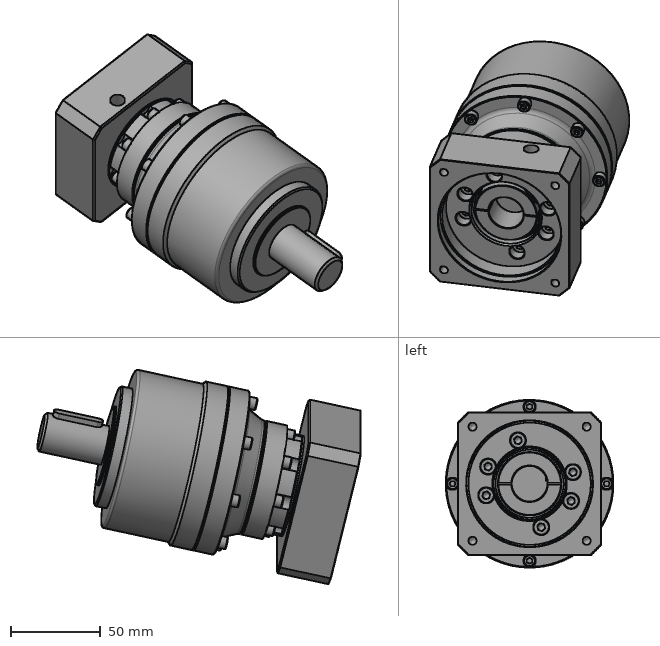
import cadquery as cq
import math

LENGTH = 173.5

PLATE_SIDE = 79.8
PLATE_DEPTH = 29.8
PLATE_CORNER = 5.9
PLATE_BACK_EDGE = 0.9
PLATE_FRONT_EDGE = 0.3
REGISTER_RADIUS = 28.6
REGISTER_END = 30.9
PILOT_RADIUS = 35.0
PILOT_DEPTH = 5.5
BORE_EDGE = 0.3
RELIEF_RADIUS = 34.0
FLOOR_X = 15.3
RIM_RADIUS = 20.8
RIM_DEPTH = 1.2
LIP_RADIUS = 20.0
LIP_DEPTH = 5.5
CLEARANCE_RADIUS = 18.9
CORNER_HOLE_OFFSET = 31.8
CORNER_HOLE_RADIUS = 2.3
CORNER_HOLE_DEPTH = 12.1
ADAPTER_SCREW_CIRCLE = 25.0
ADAPTER_SCREW_ANGLES = (22.5, 75, 165, 202.5, 255, 345)
ADAPTER_BORE_RADIUS = 4.2
ADAPTER_BORE_DEPTH = 7.0
ACCESS_HOLE_RADIUS = 4.2

LARGE_SOCKET_FLATS = 4.0
SMALL_SOCKET_FLATS = 3.0
SOCKET_DEPTH = 2.5
DRILL_POINT_HALF_ANGLE = 59

HUB_RADIUS = 17.7
HUB_START = 16.3
HUB_END = 38.2
HUB_EDGE = 0.3
HUB_BORE_RADIUS = 9.9
HUB_BORE_DEPTH = 17.4
HUB_SLIT_WIDTH = 0.9
HUB_SLIT_DEPTH = 13.9
CLAMP_SCREW_X = 22.2
CLAMP_SCREW_Y = -13.0
CLAMP_HEAD_RADIUS = 4.0
CLAMP_HEAD_BOTTOM = 1.7
CLAMP_HEAD_TOP = 7.0

NECK_RADIUS = REGISTER_RADIUS
NECK_EDGE = 0.5
INPUT_FLANGE_START = 40.3
INPUT_FLANGE_END = 51.9
INPUT_FLANGE_RADIUS = 32.5
GROOVE_DEPTH = 0.7
GROOVE_BEVEL = 0.5
INPUT_GROOVE_END = 53.5
CONE_START = 54.3
CONE_START_FILLET = 2.8
CONE_END_RADIUS = 37.8
CONE_END_FILLET = 3.1
RING_START = 64.9
RING_EDGE = 0.5
RING_RADIUS = 46.75
RING_GROOVE_START = 76.3
RING_GROOVE_END = 77.5
RING_END = 91.1
BARREL_RADIUS = 45.1
BARREL_END = 129.0
BARREL_FILLET = 1.5
BOSS_RADIUS = 34.2
BOSS_END = 135.7
BOSS_EDGE = 0.9
SEAL_RADIUS = 22.5
SEAL_END = 137.0
SEAL_EDGE = 0.5
SHAFT_RADIUS = 11.1
SHAFT_EDGE = 1.4

SELECT_MARGIN = 0.2

SCREW_COUNT = 8
SCREW_HEAD_RADIUS = 3.5
SCREW_HEAD_EDGE = 0.5
INPUT_SCREW_CIRCLE = 28.8
INPUT_HEAD_HEIGHT = 4.7
NOTCH_RADIUS = 3.8
RING_SCREW_CIRCLE = 42.9
RING_HEAD_HEIGHT = 4.5

KEY_START = 141.2
KEY_LENGTH = 28.1
KEY_WIDTH = 6.0
KEY_TOP = 13.9
KEY_BOTTOM = 7.0


def cylinder(start, end, radius, y=0.0, z=0.0):
    """Cylinder along X between two X positions."""
    axis_point = cq.Vector(start, y, z)
    return cq.Workplane(obj=cq.Solid.makeCylinder(radius, end - start, axis_point, cq.Vector(1, 0, 0)))


def countersink(start, outer_radius, inner_radius, depth, y=0.0, z=0.0):
    """Cone along X that narrows from its start toward +X."""
    axis_point = cq.Vector(start, y, z)
    cone = cq.Solid.makeCone(outer_radius, inner_radius, depth, axis_point, cq.Vector(1, 0, 0))
    return cq.Workplane(obj=cone)


def drilled_hole(start, depth, radius, y, z):
    """Blind hole along X with a conical drill point."""
    point_length = radius / math.tan(math.radians(DRILL_POINT_HALF_ANGLE))
    point = countersink(start + depth, radius, 0, point_length, y, z)
    return cylinder(start, start + depth, radius, y, z).union(point)


def hexagon(flats, depth):
    """Hexagonal prism from X = 0 to X = depth, with two corners on the Y axis."""
    return cq.Workplane("YZ").polygon(6, flats / math.cos(math.pi / 6)).extrude(depth)


def on_circle(body, angle):
    """Turn a body about the X axis; angle 0 is the +Y side and 90 the +Z side."""
    return body.rotate((0, 0, 0), (1, 0, 0), angle)


def screw_head(start, end, circle):
    """Cap screw head on the +Y side of a bolt circle, with its socket facing -X."""
    socket = hexagon(SMALL_SOCKET_FLATS, SOCKET_DEPTH).translate((start, circle, 0))
    head = cylinder(start, end, SCREW_HEAD_RADIUS, circle).faces("<X").chamfer(SCREW_HEAD_EDGE)
    return head.cut(socket)


def make_adapter():
    plate = (
        cq.Workplane("YZ")
        .rect(PLATE_SIDE, PLATE_SIDE)
        .extrude(PLATE_DEPTH)
        .edges("|X").chamfer(PLATE_CORNER)
        .faces(">X").chamfer(PLATE_BACK_EDGE)
        .faces("<X").chamfer(PLATE_FRONT_EDGE)
    )
    adapter = plate.union(cylinder(PLATE_DEPTH, REGISTER_END, REGISTER_RADIUS))

    bore_steps = (
        (PILOT_DEPTH, PILOT_RADIUS),
        (FLOOR_X, RELIEF_RADIUS),
        (FLOOR_X + LIP_DEPTH, LIP_RADIUS),
        (REGISTER_END, CLEARANCE_RADIUS),
    )
    for end, radius in bore_steps:
        adapter = adapter.cut(cylinder(0, end, radius))
    adapter = adapter.cut(countersink(0, PILOT_RADIUS + BORE_EDGE, PILOT_RADIUS, BORE_EDGE))
    adapter = adapter.cut(countersink(FLOOR_X, RIM_RADIUS, LIP_RADIUS, RIM_DEPTH))

    for y in (-CORNER_HOLE_OFFSET, CORNER_HOLE_OFFSET):
        for z in (-CORNER_HOLE_OFFSET, CORNER_HOLE_OFFSET):
            adapter = adapter.cut(drilled_hole(0, CORNER_HOLE_DEPTH, CORNER_HOLE_RADIUS, y, z))

    head_face = FLOOR_X + ADAPTER_BORE_DEPTH
    counterbore = cylinder(FLOOR_X, head_face, ADAPTER_BORE_RADIUS, ADAPTER_SCREW_CIRCLE)
    socket = hexagon(LARGE_SOCKET_FLATS, SOCKET_DEPTH).translate((head_face, ADAPTER_SCREW_CIRCLE, 0))
    socket_point = drilled_hole(head_face, SOCKET_DEPTH, LARGE_SOCKET_FLATS / 2, ADAPTER_SCREW_CIRCLE, 0)
    counterbore_rim = countersink(
        FLOOR_X, ADAPTER_BORE_RADIUS + BORE_EDGE, ADAPTER_BORE_RADIUS, BORE_EDGE, ADAPTER_SCREW_CIRCLE
    )
    sunken_screw = counterbore.union(counterbore_rim).union(socket).union(socket_point)
    for angle in ADAPTER_SCREW_ANGLES:
        adapter = adapter.cut(on_circle(sunken_screw, angle))

    access_hole = (
        cq.Workplane("XY")
        .center(CLAMP_SCREW_X, CLAMP_SCREW_Y)
        .circle(ACCESS_HOLE_RADIUS)
        .extrude(PLATE_SIDE / 2)
    )
    return adapter.cut(access_hole)


def make_clamp_hub():
    hub = cylinder(HUB_START, HUB_END, HUB_RADIUS).faces("<X").chamfer(HUB_EDGE)
    hub = hub.cut(cylinder(HUB_START, HUB_START + HUB_BORE_DEPTH, HUB_BORE_RADIUS))
    hub = hub.cut(countersink(HUB_START, HUB_BORE_RADIUS + HUB_EDGE, HUB_BORE_RADIUS, HUB_EDGE))
    slit = cq.Workplane("XY").box(HUB_SLIT_DEPTH, 2 * HUB_RADIUS, HUB_SLIT_WIDTH)
    hub = hub.cut(slit.translate((HUB_START + HUB_SLIT_DEPTH / 2, 0, 0)))

    screw_plane = cq.Workplane("XY").center(CLAMP_SCREW_X, CLAMP_SCREW_Y)
    seat = (
        screw_plane.workplane(offset=CLAMP_HEAD_TOP)
        .circle(ACCESS_HOLE_RADIUS)
        .extrude(HUB_RADIUS - CLAMP_HEAD_TOP)
    )
    head = (
        screw_plane.workplane(offset=CLAMP_HEAD_BOTTOM)
        .circle(CLAMP_HEAD_RADIUS)
        .extrude(CLAMP_HEAD_TOP - CLAMP_HEAD_BOTTOM)
    )
    socket = (
        screw_plane.workplane(offset=CLAMP_HEAD_TOP - SOCKET_DEPTH)
        .polygon(6, LARGE_SOCKET_FLATS / math.cos(math.pi / 6))
        .extrude(SOCKET_DEPTH)
    )
    return hub.cut(seat).union(head).cut(socket)


def circle_selector(x, radius):
    """Selector for the full circle of this radius about the X axis at this X position."""
    low = (x - SELECT_MARGIN, -radius - SELECT_MARGIN, -radius - SELECT_MARGIN)
    high = (x + SELECT_MARGIN, radius + SELECT_MARGIN, radius + SELECT_MARGIN)
    inner_low = (low[0], SELECT_MARGIN - radius, SELECT_MARGIN - radius)
    inner_high = (high[0], radius - SELECT_MARGIN, radius - SELECT_MARGIN)
    within = cq.selectors.BoxSelector(low, high, boundingbox=True)
    smaller = cq.selectors.BoxSelector(inner_low, inner_high, boundingbox=True)
    return within - smaller


def groove_points(start, end, radius):
    """Profile points of a narrow groove with bevelled rims."""
    floor_radius = radius - GROOVE_DEPTH
    return [
        (start, radius),
        (start + GROOVE_BEVEL, radius - GROOVE_BEVEL),
        (start + GROOVE_BEVEL, floor_radius),
        (end - GROOVE_BEVEL, floor_radius),
        (end - GROOVE_BEVEL, radius - GROOVE_BEVEL),
        (end, radius),
    ]


def turned_gearbox():
    """Housing and output shaft as one turned shape."""
    ring_chamfer = RING_RADIUS - BARREL_RADIUS
    profile = [
        (REGISTER_END, 0),
        (REGISTER_END, NECK_RADIUS - NECK_EDGE),
        (REGISTER_END + NECK_EDGE, NECK_RADIUS),
        (INPUT_FLANGE_START, NECK_RADIUS),
        (INPUT_FLANGE_START, INPUT_FLANGE_RADIUS),
        *groove_points(INPUT_FLANGE_END, INPUT_GROOVE_END, INPUT_FLANGE_RADIUS),
        (CONE_START, INPUT_FLANGE_RADIUS),
        (RING_START, CONE_END_RADIUS),
        (RING_START, RING_RADIUS - RING_EDGE),
        (RING_START + RING_EDGE, RING_RADIUS),
        *groove_points(RING_GROOVE_START, RING_GROOVE_END, RING_RADIUS),
        (RING_END - ring_chamfer, RING_RADIUS),
        (RING_END, BARREL_RADIUS),
        (BARREL_END, BARREL_RADIUS),
        (BARREL_END, BOSS_RADIUS),
        (BOSS_END - BOSS_EDGE, BOSS_RADIUS),
        (BOSS_END, BOSS_RADIUS - BOSS_EDGE),
        (BOSS_END, SEAL_RADIUS),
        (SEAL_END - SEAL_EDGE, SEAL_RADIUS),
        (SEAL_END, SEAL_RADIUS - SEAL_EDGE),
        (SEAL_END, SHAFT_RADIUS),
        (LENGTH - SHAFT_EDGE, SHAFT_RADIUS),
        (LENGTH, SHAFT_RADIUS - SHAFT_EDGE),
        (LENGTH, 0),
    ]
    turned = cq.Workplane("XY").polyline(profile).close().revolve(360, (0, 0, 0), (1, 0, 0))

    rounded_corners = (
        (CONE_START, INPUT_FLANGE_RADIUS, CONE_START_FILLET),
        (RING_START, CONE_END_RADIUS, CONE_END_FILLET),
        (BARREL_END, BARREL_RADIUS, BARREL_FILLET),
    )
    for x, radius, fillet_radius in rounded_corners:
        turned = turned.edges(circle_selector(x, radius)).fillet(fillet_radius)
    return turned


def make_key():
    slot_centre = KEY_START + KEY_LENGTH / 2
    key = cq.Workplane("XZ").center(slot_centre, 0).slot2D(KEY_LENGTH, KEY_WIDTH)
    return key.extrude(-(KEY_TOP - KEY_BOTTOM)).translate((0, KEY_BOTTOM, 0))


def make_gearbox():
    gearbox = turned_gearbox().union(make_key())
    gearbox = gearbox.cut(cylinder(REGISTER_END, HUB_END, HUB_RADIUS))

    notch = cylinder(REGISTER_END, INPUT_FLANGE_START, NOTCH_RADIUS, INPUT_SCREW_CIRCLE)
    input_head = screw_head(INPUT_FLANGE_START - INPUT_HEAD_HEIGHT, INPUT_FLANGE_START, INPUT_SCREW_CIRCLE)
    ring_head = screw_head(RING_START - RING_HEAD_HEIGHT, RING_START, RING_SCREW_CIRCLE)
    for index in range(SCREW_COUNT):
        angle = index * 360 / SCREW_COUNT
        gearbox = gearbox.cut(on_circle(notch, angle))
        gearbox = gearbox.union(on_circle(input_head, angle))
        gearbox = gearbox.union(on_circle(ring_head, angle))
    return gearbox


adapter = make_adapter()
clamp_hub = make_clamp_hub()
gearbox = make_gearbox()
result = cq.Compound.makeCompound([adapter.val(), clamp_hub.val(), gearbox.val()])